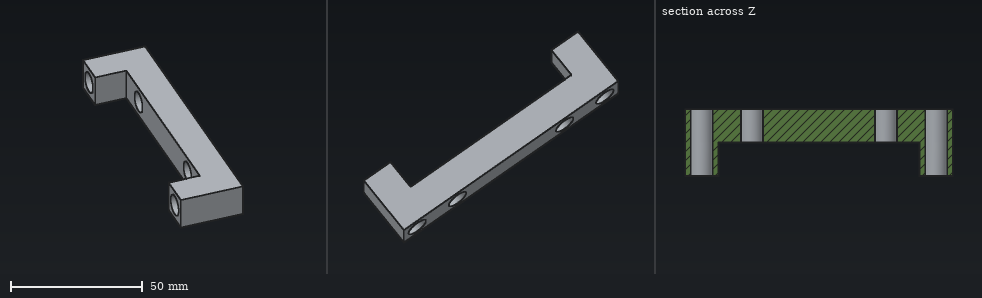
import cadquery as cq

length = 101.6
depth = 25.4
bar_size = length / 8
hole_diameter = 8.2
inner_hole_spacing = length / 2

gap_length = length - 2 * bar_size
leg_length = depth - bar_size
outer_hole_spacing = length - bar_size

body = cq.Workplane("XY").box(length, depth, bar_size)
gap = (
    cq.Workplane("XY")
    .box(gap_length, leg_length, bar_size)
    .translate((0, (leg_length - depth) / 2, 0))
)
body = body.cut(gap)

hole_positions = [
    (side * spacing / 2, 0)
    for spacing in (inner_hole_spacing, outer_hole_spacing)
    for side in (-1, 1)
]
holes = (
    cq.Workplane("XZ")
    .pushPoints(hole_positions)
    .circle(hole_diameter / 2)
    .extrude(depth, both=True)
)

result = body.cut(holes)